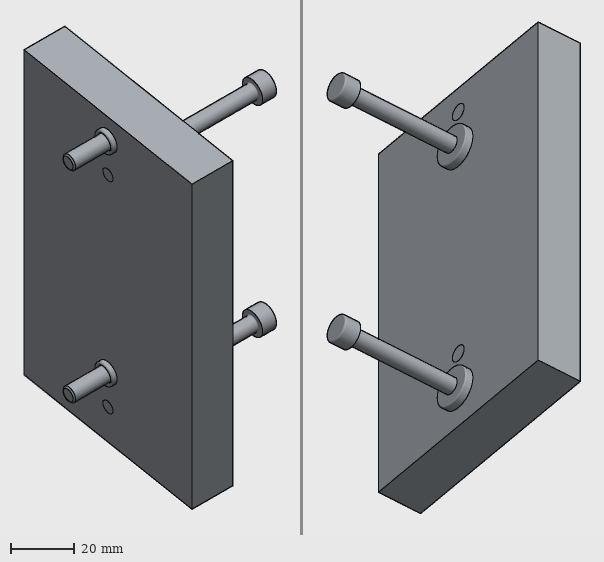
import cadquery as cq

PLATE_HEIGHT = 140.0
PLATE_WIDTH = 82.0
PLATE_THICKNESS = 17.0

GROUP_SPACING = 100.0
STUD_TOP_INSET = 10.0
STUD_TO_SCREW = 15.0

STUD_DIAMETER = 6.0
STUD_PROJECTION = 16.5
STUD_CHAMFER = 0.5

COLLAR_DIAMETER = 9.0
COLLAR_BORE = 6.6
COLLAR_HEIGHT = 2.0

SCREW_DIAMETER = 6.0
SCREW_TIP_DIAMETER = 4.9
HEAD_DIAMETER = 10.0
HEAD_HEIGHT = 6.0
HEAD_ROUND = 0.5
NECK_FILLET = 0.3
OVERALL_DEPTH = 82.5

SPACER_DIAMETER = 15.0
SPACER_HEIGHT = 2.8
SPACER_ROUND = 0.4

UPPER_STUD_Z = PLATE_HEIGHT / 2 - STUD_TOP_INSET
STUD_HEIGHTS = [UPPER_STUD_Z, UPPER_STUD_Z - GROUP_SPACING]
SCREW_HEIGHTS = [z - STUD_TO_SCREW for z in STUD_HEIGHTS]
HEAD_BACK_Y = OVERALL_DEPTH - STUD_PROJECTION
HEAD_FRONT_Y = HEAD_BACK_Y - HEAD_HEIGHT
SCREW_TIP_CHAMFER = (SCREW_DIAMETER - SCREW_TIP_DIAMETER) / 2


def rod(diameter, y_start, y_end, z):
    """Cylinder along Y between two Y positions, with its axis at height z."""
    plane = cq.Plane(origin=(0, y_start, z), xDir=(1, 0, 0), normal=(0, 1, 0))
    return cq.Workplane(plane).circle(diameter / 2).extrude(y_end - y_start)


def make_stud(z):
    stud = rod(STUD_DIAMETER, -STUD_PROJECTION, PLATE_THICKNESS, z)
    return stud.faces("<Y").chamfer(STUD_CHAMFER)


def make_collar(z):
    """Ring whose wall section is a rectangle capped by a half circle, revolved about Y."""
    inner = COLLAR_BORE / 2
    outer = COLLAR_DIAMETER / 2
    rim_radius = (outer - inner) / 2
    rim_start = rim_radius - COLLAR_HEIGHT
    section = (
        cq.Workplane("XY", origin=(0, 0, z))
        .moveTo(inner, 0)
        .lineTo(inner, rim_start)
        .threePointArc((inner + rim_radius, -COLLAR_HEIGHT), (outer, rim_start))
        .lineTo(outer, 0)
        .close()
    )
    return section.revolve(360, (0, 0, 0), (0, 1, 0))


def make_spacer(z):
    back_y = PLATE_THICKNESS + SPACER_HEIGHT
    spacer = rod(SPACER_DIAMETER, PLATE_THICKNESS, back_y, z).faces(">Y").edges().fillet(SPACER_ROUND)
    return spacer.cut(rod(SCREW_DIAMETER, PLATE_THICKNESS, back_y, z))


def make_screw_shank(z):
    """Shank with a conical tip tapering to the tip diameter at the front face."""
    shank = rod(SCREW_DIAMETER, 0, HEAD_FRONT_Y, z)
    return shank.faces("<Y").chamfer(SCREW_TIP_CHAMFER)


def make_screw(z):
    head = rod(HEAD_DIAMETER, HEAD_FRONT_Y, HEAD_BACK_Y, z).faces(">Y").edges().fillet(HEAD_ROUND)
    screw = make_screw_shank(z).union(head)
    neck = cq.selectors.RadiusNthSelector(0)
    return screw.faces("<Y[-2]").edges(neck).fillet(NECK_FILLET)


def make_plate():
    plate = cq.Workplane("XY").box(PLATE_WIDTH, PLATE_THICKNESS, PLATE_HEIGHT, centered=(True, False, True))
    for z in STUD_HEIGHTS:
        plate = plate.cut(rod(STUD_DIAMETER, 0, PLATE_THICKNESS, z))
    for z in SCREW_HEIGHTS:
        plate = plate.cut(make_screw_shank(z))
    return plate


plate = make_plate()
studs = [make_stud(z).val() for z in STUD_HEIGHTS]
collars = [make_collar(z).val() for z in STUD_HEIGHTS]
screws = [make_screw(z).val() for z in SCREW_HEIGHTS]
spacers = [make_spacer(z).val() for z in SCREW_HEIGHTS]

result = cq.Compound.makeCompound([plate.val(), *studs, *collars, *screws, *spacers])